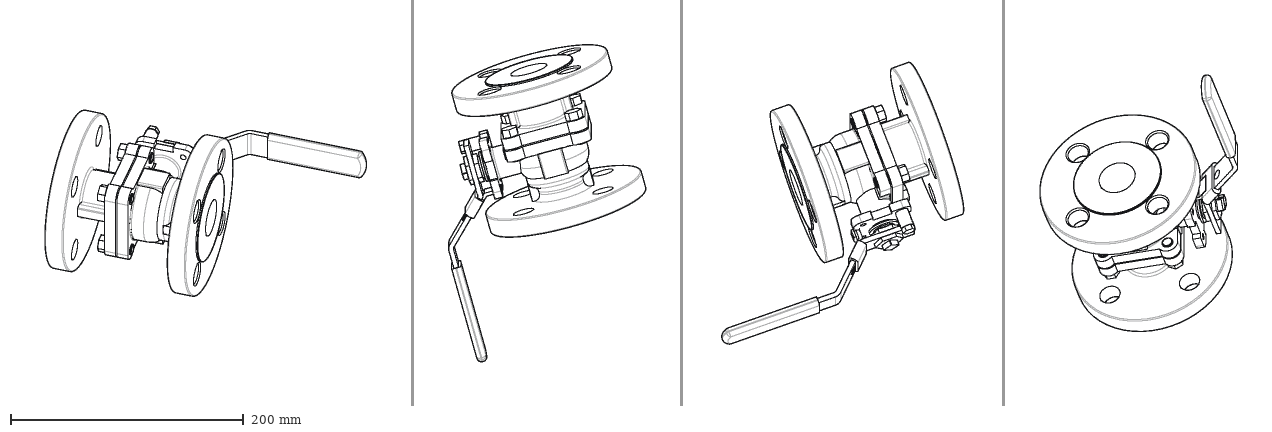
import cadquery as cq
import math


face_to_face = 130.0
flange_diameter = 139.0
flange_thickness = 16.5
raised_face_diameter = 78.0
raised_face_height = 1.7
bore_diameter = 32.0
bolt_hole_diameter = 18.0
bolt_circle_diameter = 100.0
bolt_hole_chamfer = 1.5
flange_edge_radius = 1.0
raised_face_chamfer = 0.5
flange_back = raised_face_height + flange_thickness
right_flange_back = face_to_face - flange_back

neck_diameter = 41.5
neck_fillet = 2.0
rib_reach = 27.5
rib_width = 9.5
rib_fillet = 2.4
rib_edge_radius = 0.7
rib_root_margin = 0.2

joint_start = 45.7
joint_plate_thickness = 10.0
joint_gap = 1.2
joint_half_size = 37.5
lug_radius = 9.0
lug_center = joint_half_size - lug_radius
waist_half_height = 34.0
gasket_diameter = 55.0
joint_end = joint_start + 2 * joint_plate_thickness + joint_gap
joint_bolt_diameter = 9.5
joint_bolt_tip = 1.5
hex_across_corners = 15.0
hex_height = 6.9

housing_radius = 31.3
housing_straight_end = 79.0
housing_bulge_x = 84.8
housing_bulge_radius = 30.3
shoulder_start = 89.8
shoulder_radius = 27.5
shoulder_end = 95.5
shoulder_break_x = 99.5
shoulder_break_radius = 24.5
throat_radius = 20.5
throat_start = 104.5
throat_end = 106.6
flare_radius = right_flange_back - throat_end
pad_length = shoulder_start - joint_end
pad_width = 21.3
pad_half_height = 32.0
pad_edge_radius = 1.2
housing_fillet = 1.2

stem_x = (45.7 + 98.0) / 2
stem_neck_diameter = 28.0
stem_neck_fillet = 1.5
stem_web_top = 39.3
stem_web_width = 28.5
stem_web_edge_radius = 1.2
stem_web_overhang = 1.7
mount_bottom = 49.8
mount_thickness = 7.0
mount_size = 52.4
mount_corner_radius = 7.0
mount_notch_width = 17.0
mount_notch_depth = 5.2
mount_hole_diameter = 5.0
mount_hole_offset = 17.5
stem_diameter = 19.0
washer_diameter = 26.5
washer_bottom = 59.0
washer_thickness = 2.0
nut_across_corners = 25.5
nut_bottom = 62.8
nut_top = 74.7
stem_tip_size = 10.5
stem_tip_chamfer = 0.5
stem_top = 79.2

post_diameter = 11.4
post_top = 71.8
post_hex_height = 4.3

lever_thickness = 4.3
lever_width = 23.7
lever_start = 47.9
lever_height = 69.0
grip_height = 105.7
lever_bend_x = 94.5
bend_inner_radius = 3.8
grip_start = 149.0
grip_overlap = 2.4
grip_end = 237.0
grip_thickness = 8.3
grip_width = 27.5
grip_tip_bulge = 4.7
grip_corner_radius = 2.4
grip_edge_radius = 3.8
sleeve_length = 17.3
sleeve_thickness = 8.8
sleeve_width = 33.5
sleeve_distance = 10.5
lock_hole_diameter = 8.0
lock_hole_distance = 23.7
lock_tab_thickness = 3.0
lock_tab_width = 16.5
lock_tab_bend_height = 64.5


def disc_x(diameter, start, length):
    """Cylinder on the bore axis."""
    return cq.Workplane("YZ").workplane(offset=start).circle(diameter / 2).extrude(length)


def box_between(x_range, y_range, z_range):
    size = [high - low for low, high in (x_range, y_range, z_range)]
    corner = (x_range[0], y_range[0], z_range[0])
    return cq.Workplane("XY").box(*size, centered=False).translate(corner)


def stem_plane(height, x=stem_x, z=0):
    """Workplane facing +Y, centred on (x, z); its local x is +X and its local y is -Z."""
    return cq.Workplane(cq.Plane(origin=(x, height, z), xDir=(1, 0, 0), normal=(0, 1, 0)))


def left_flange():
    """Flange with its sealing face on X = 0."""
    disc = disc_x(flange_diameter, raised_face_height, flange_thickness).edges().fillet(flange_edge_radius)
    disc = (
        disc.faces("<X").workplane(origin=(0, 0, 0))
        .polarArray(bolt_circle_diameter / 2, 45, 360, 4)
        .hole(bolt_hole_diameter)
    )
    hole_rims = cq.selectors.RadiusNthSelector(0)
    disc = disc.faces("<X").edges(hole_rims).chamfer(bolt_hole_chamfer)
    raised = disc_x(raised_face_diameter, 0, flange_back).faces("<X").edges().chamfer(raised_face_chamfer)
    holes = (
        cq.Workplane("YZ").polarArray(bolt_circle_diameter / 2, 45, 360, 4)
        .circle(bolt_hole_diameter / 2).extrude(flange_back)
    )
    return disc.union(raised.cut(holes))


def flanges():
    left = left_flange()
    right = left.mirror("YZ").translate((face_to_face, 0, 0))
    return left.union(right)


def left_neck():
    """Straight neck with a filleted rib on each of the +Y and -Y sides."""
    length = joint_start - flange_back
    ribs = box_between(
        (flange_back, joint_start), (-rib_reach, rib_reach), (-rib_width / 2, rib_width / 2)
    ).edges("|X").fillet(rib_edge_radius)
    neck = disc_x(neck_diameter, flange_back, length).union(ribs)
    root_y = math.sqrt((neck_diameter / 2) ** 2 - (rib_width / 2) ** 2)
    for side in (-1, 1):
        y_limits = sorted((side * (root_y - rib_root_margin), side * (root_y + rib_root_margin)))
        roots = cq.selectors.BoxSelector(
            (flange_back, y_limits[0], -rib_width), (joint_start, y_limits[1], rib_width)
        )
        neck = neck.edges("|X").edges(roots).fillet(rib_fillet)
    return neck


def flare(wall, direction, inner, size):
    """Concave fillet ring around the X axis, spreading from radius `inner` onto a wall at X = `wall`."""
    bulge = size * (1 - math.sqrt(0.5))
    profile = (
        cq.Workplane("XY").moveTo(wall, 0).lineTo(wall, inner + size)
        .threePointArc((wall + direction * bulge, inner + bulge), (wall + direction * size, inner))
        .lineTo(wall + direction * size, 0).close()
    )
    return profile.revolve(360, (0, 0, 0), (1, 0, 0))


def neck_end_fillets():
    inner = neck_diameter / 2
    return flare(flange_back, 1, inner, neck_fillet).union(flare(joint_start, -1, inner, neck_fillet))


def joint_plate(start):
    """Square plate with four round lugs and a shallow waist on the +Z and -Z sides."""
    side = 2 * joint_half_size
    plate = (
        cq.Workplane("YZ").workplane(offset=start).rect(side, 2 * lug_center)
        .extrude(joint_plate_thickness)
    )
    waist = (
        cq.Workplane("YZ").workplane(offset=start).rect(2 * lug_center, 2 * waist_half_height)
        .extrude(joint_plate_thickness)
    )
    lugs = (
        cq.Workplane("YZ").workplane(offset=start)
        .rect(2 * lug_center, 2 * lug_center, forConstruction=True)
        .vertices().circle(lug_radius).extrude(joint_plate_thickness)
    )
    return plate.union(waist).union(lugs)


def joint_bolts():
    """Hex head bolts; the head turns by 90 degrees from one corner to the next."""
    bolt = disc_x(joint_bolt_diameter, joint_start, joint_end + joint_bolt_tip - joint_start)
    bolt = bolt.faces(">X").chamfer(joint_bolt_tip / 2)
    head = (
        cq.Workplane("YZ").workplane(offset=joint_start - hex_height)
        .polygon(6, hex_across_corners).extrude(hex_height)
    )
    bolt = bolt.union(head).translate((0, lug_center, lug_center))
    bolts = bolt
    for quarter in range(1, 4):
        bolts = bolts.union(bolt.rotate((0, 0, 0), (1, 0, 0), 90 * quarter))
    return bolts


def joint():
    second_start = joint_start + joint_plate_thickness + joint_gap
    gasket = disc_x(gasket_diameter, joint_start, joint_end - joint_start)
    plates = joint_plate(joint_start).union(joint_plate(second_start))
    return plates.union(gasket).union(joint_bolts())


def housing():
    """Turned ball housing that narrows to a throat and flares into the right flange."""
    quarter = math.sqrt(0.5)
    flare_mid_x = throat_end + flare_radius * quarter
    flare_mid_radius = throat_radius + flare_radius * (1 - quarter)
    profile = (
        cq.Workplane("XY").moveTo(joint_end, 0).lineTo(joint_end, housing_radius)
        .lineTo(housing_straight_end, housing_radius)
        .threePointArc((housing_bulge_x, housing_bulge_radius), (shoulder_start, shoulder_radius))
        .lineTo(shoulder_end, shoulder_radius)
        .tangentArcPoint((shoulder_break_x, shoulder_break_radius), relative=False)
        .tangentArcPoint((throat_start, throat_radius), relative=False)
        .lineTo(throat_end, throat_radius)
        .threePointArc((flare_mid_x, flare_mid_radius), (right_flange_back, throat_radius + flare_radius))
        .lineTo(right_flange_back, 0).close()
    )
    body = profile.revolve(360, (0, 0, 0), (1, 0, 0))
    ribs = box_between(
        (shoulder_end, right_flange_back), (-rib_reach, rib_reach), (-rib_width / 2, rib_width / 2)
    )
    pad_y = (-pad_width / 2, pad_width / 2)
    pads = box_between((joint_end, joint_end + pad_length), pad_y, (-pad_half_height, pad_half_height))
    pads = pads.edges("|X").fillet(pad_edge_radius)
    return body.union(ribs).union(pads).union(flare(joint_end, 1, housing_radius, housing_fillet))


def mounting_plate():
    """Square plate across the stem with a notch in each side and a hole in each corner."""
    plate = stem_plane(mount_bottom).rect(mount_size, mount_size).extrude(mount_thickness)
    plate = plate.edges("|Y").fillet(mount_corner_radius)
    hole_pitch = 2 * mount_hole_offset
    holes = (
        stem_plane(mount_bottom).rect(hole_pitch, hole_pitch, forConstruction=True)
        .vertices().circle(mount_hole_diameter / 2).extrude(mount_thickness)
    )
    plate = plate.cut(holes)
    for length, width in ((mount_size, mount_notch_width), (mount_notch_width, mount_size)):
        middle = mount_size - 2 * mount_notch_depth
        slot = stem_plane(mount_bottom).rect(length, width).extrude(mount_thickness)
        kept = stem_plane(mount_bottom).rect(middle, middle).extrude(mount_thickness)
        plate = plate.cut(slot.cut(kept))
    return plate


def stem_web():
    """Rounded web tying the stem neck to the second joint plate."""
    web = box_between(
        (joint_end - joint_plate_thickness + stem_web_edge_radius, joint_end + stem_web_overhang),
        (bore_diameter / 2, stem_web_top),
        (-stem_web_width / 2, stem_web_width / 2),
    )
    return web.faces(">Y").edges().fillet(stem_web_edge_radius)


def stem():
    neck = stem_plane(0).circle(stem_neck_diameter / 2).extrude(mount_bottom)
    neck_flare = flare(mount_bottom, -1, stem_neck_diameter / 2, stem_neck_fillet)
    neck_flare = neck_flare.rotate((0, 0, 0), (0, 0, 1), 90).translate((stem_x, 0, 0))
    neck = neck.union(neck_flare).union(stem_web())
    shaft = stem_plane(mount_bottom).circle(stem_diameter / 2).extrude(nut_top - mount_bottom)
    washer = stem_plane(washer_bottom).circle(washer_diameter / 2).extrude(washer_thickness)
    nuts = stem_plane(nut_bottom).polygon(6, nut_across_corners).extrude(nut_top - nut_bottom)
    tip = stem_plane(nut_top).rect(stem_tip_size, stem_tip_size).extrude(stem_top - nut_top)
    tip = tip.edges("|Y").chamfer(stem_tip_chamfer)
    tip = tip.rotate((stem_x, 0, 0), (stem_x, 1, 0), 45)
    return neck.union(shaft).union(washer).union(nuts).union(tip)


def stop_post():
    """Post with a hex head in the -X, +Z corner of the mounting plate."""
    base = stem_plane(mount_bottom, stem_x - mount_hole_offset, mount_hole_offset)
    post = base.circle(post_diameter / 2).extrude(post_top - mount_bottom)
    head = base.workplane(offset=post_top - mount_bottom).polygon(6, post_diameter)
    return post.union(head.extrude(post_hex_height))


def bent_strip(centre_line, thickness, width):
    """Strip of even thickness along an XY centre line, centred on Z = 0, with mitred bends."""
    headings = [
        math.atan2(end[1] - start[1], end[0] - start[0])
        for start, end in zip(centre_line, centre_line[1:])
    ]
    left_edge = []
    right_edge = []
    for index, (x, y) in enumerate(centre_line):
        before = headings[max(index - 1, 0)]
        after = headings[min(index, len(headings) - 1)]
        normal = (before + after + math.pi) / 2
        reach = thickness / 2 / math.cos((after - before) / 2)
        left_edge.append((x + reach * math.cos(normal), y + reach * math.sin(normal)))
        right_edge.append((x - reach * math.cos(normal), y - reach * math.sin(normal)))
    outline = left_edge + right_edge[::-1]
    return cq.Workplane("XY").workplane(offset=-width / 2).polyline(outline).close().extrude(width)


def lever():
    """Flat strap: level at the stem, rising at 45 degrees, then level again at the grip."""
    upper_bend_x = lever_bend_x + grip_height - lever_height
    centre_line = [
        (lever_start, lever_height),
        (lever_bend_x, lever_height),
        (upper_bend_x, grip_height),
        (grip_start + grip_overlap, grip_height),
    ]
    strap = bent_strip(centre_line, lever_thickness, lever_width)
    half = lever_thickness / 2
    inner_bend = cq.selectors.NearestToPointSelector((upper_bend_x, grip_height - half, 0))
    strap = strap.edges("|Z").edges(inner_bend).fillet(bend_inner_radius)
    outer_bend = cq.selectors.NearestToPointSelector((upper_bend_x, grip_height + half, 0))
    strap = strap.edges("|Z").edges(outer_bend).fillet(bend_inner_radius + lever_thickness)
    return strap.cut(lock_hole())


def slope_plane(distance):
    """Workplane square to the sloping strap, a distance along it from the lower bend."""
    along = math.sqrt(0.5)
    origin = (lever_bend_x + distance * along, lever_height + distance * along, 0)
    return cq.Workplane(cq.Plane(origin=origin, xDir=(0, 0, 1), normal=(along, along, 0)))


def lock_hole():
    """Padlock hole through the sloping part of the strap."""
    hole = slope_plane(lock_hole_distance).transformed(rotate=(90, 0, 0))
    return hole.circle(lock_hole_diameter / 2).extrude(lever_thickness, both=True)


def locking_sleeve():
    """Oblong sleeve around the sloping strap with a tab reaching into a plate notch."""
    sleeve = (
        slope_plane(sleeve_distance - sleeve_length / 2)
        .slot2D(sleeve_width, sleeve_thickness).extrude(sleeve_length)
    )
    tab_reach = sleeve_length / 2
    tab_line = [
        (lever_bend_x, mount_bottom),
        (lever_bend_x, lock_tab_bend_height),
        (lever_bend_x + tab_reach, lock_tab_bend_height + tab_reach),
    ]
    return sleeve.union(bent_strip(tab_line, lock_tab_thickness, lock_tab_width))


def grip():
    """Flat rounded grip with a bulged tip."""
    tip_corner_x = grip_end - grip_tip_bulge
    half = grip_width / 2
    body = (
        cq.Workplane("XZ", origin=(0, grip_height + grip_thickness / 2, 0))
        .moveTo(grip_start, -half).lineTo(tip_corner_x, -half)
        .threePointArc((grip_end, 0), (tip_corner_x, half))
        .lineTo(grip_start, half).close().extrude(grip_thickness)
    )
    body = body.edges("|Y").edges("not <X").fillet(grip_corner_radius)
    return body.faces("|Y").edges("not <X").fillet(grip_edge_radius)


bore = disc_x(bore_diameter, 0, face_to_face)
result = flanges()
parts = (
    left_neck(), neck_end_fillets(), joint(), housing(), stem(), mounting_plate(), stop_post(),
    lever(), locking_sleeve(), grip(),
)
for piece in parts:
    result = result.union(piece)
result = result.cut(bore)